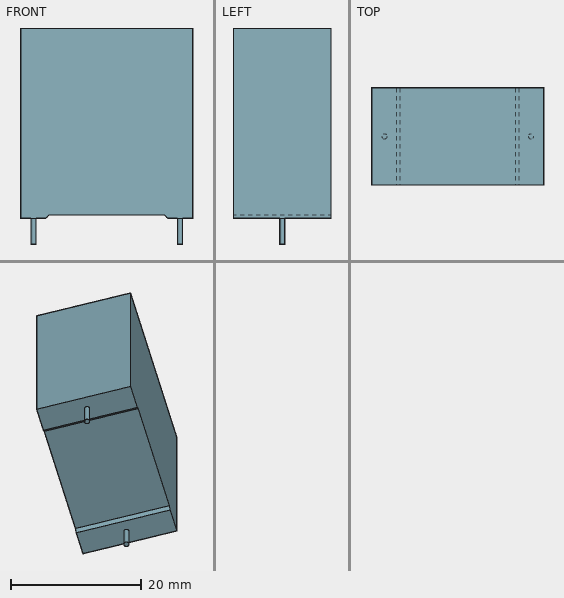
import cadquery as cq

width = 26.5
depth = 15.0
total_height = 33.2
lead_length = 4.0
lead_diameter = 0.8
lead_pitch = 22.5

foot_width = 3.85
relief_height = 0.5
relief_slope_run = 0.5

body_height = total_height - lead_length


def make_body():
    """Box with its underside at Z = lead_length, centred in X and Y."""
    return (
        cq.Workplane("XY")
        .workplane(offset=lead_length)
        .rect(width, depth)
        .extrude(body_height)
    )


def make_relief():
    """Trapezoidal channel running through the underside along Y."""
    half_bottom = width / 2 - foot_width
    half_top = half_bottom - relief_slope_run
    relief_top = lead_length + relief_height
    return (
        cq.Workplane("XZ")
        .polyline([
            (-half_bottom, lead_length),
            (half_bottom, lead_length),
            (half_top, relief_top),
            (-half_top, relief_top),
        ])
        .close()
        .extrude(depth / 2, both=True)
    )


def make_leads():
    """Pair of round leads, one under each foot, rising from Z = 0 to the body."""
    return (
        cq.Workplane("XY")
        .pushPoints([(-lead_pitch / 2, 0), (lead_pitch / 2, 0)])
        .circle(lead_diameter / 2)
        .extrude(lead_length)
    )


result = make_body().cut(make_relief()).union(make_leads())